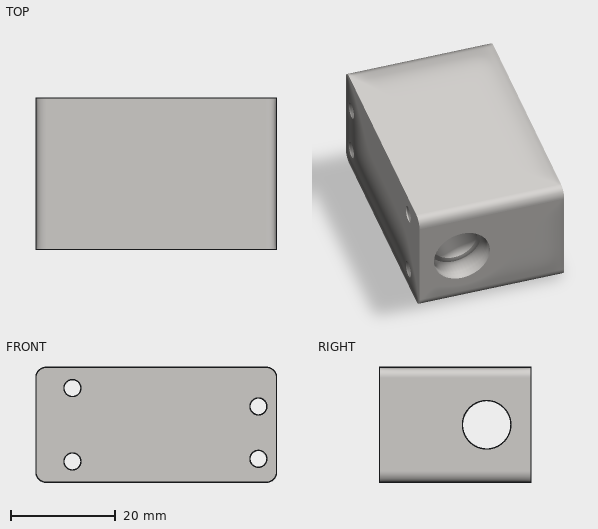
import cadquery as cq

length_x = 46.0
width_y = 29.0
height_z = 22.0
edge_radius = 2.0

mount_hole_diameter = 3.2
mount_hole_places = [(7.0, 4.0), (7.0, 18.0), (42.5, 4.5), (42.5, 14.5)]

bore_diameter = 9.2
counterbore_diameter = 11.2
counterbore_depth = 5.0
bore_from_back_face = 8.5
bore_y = width_y - bore_from_back_face
bore_z = height_z / 2


def make_block():
    """Block with one corner at the origin and the four edges along Y rounded."""
    block = cq.Workplane("XY").box(length_x, width_y, height_z, centered=False)
    return block.edges("|Y").fillet(edge_radius)


def mount_holes():
    """Cylinders that pass through the block from front to back."""
    front = cq.Workplane("XZ").pushPoints(mount_hole_places)
    return front.circle(mount_hole_diameter / 2).extrude(-width_y)


def bore_cylinder(diameter, depth):
    """Cylinder on the bore axis, running inward from the -X face."""
    return cq.Workplane("YZ").center(bore_y, bore_z).circle(diameter / 2).extrude(depth)


result = (
    make_block()
    .cut(mount_holes())
    .cut(bore_cylinder(bore_diameter, length_x))
    .cut(bore_cylinder(counterbore_diameter, counterbore_depth))
)